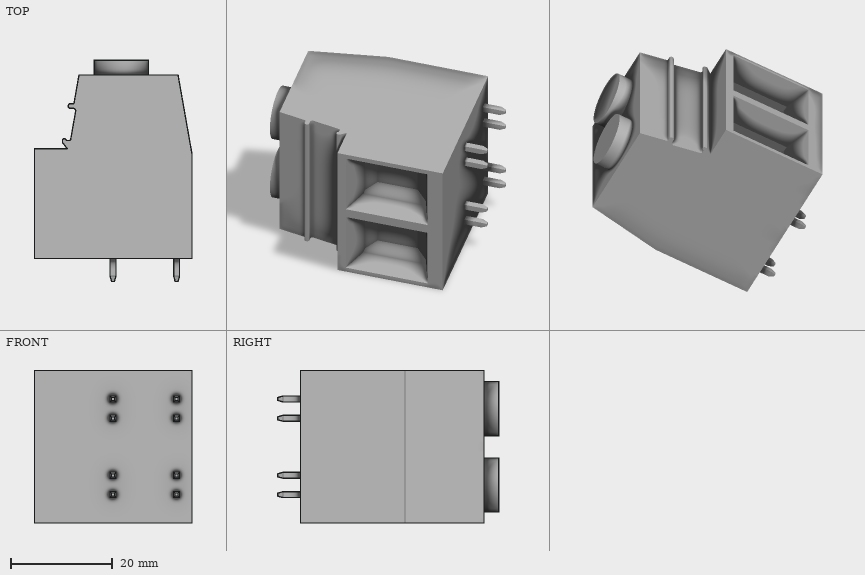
import math

import cadquery as cq


POLE_COUNT = 2
POLE_PITCH = 15.0
HOUSING_WIDTH = 31.0
HOUSING_LENGTH = 36.1
HOUSING_HEIGHT = POLE_COUNT * POLE_PITCH
SHOULDER_Y = 21.6
SHOULDER_END_X = 6.45
FLANK_ANGLE = 10.0
FLANK_SLOPE = math.tan(math.radians(FLANK_ANGLE))
TOP_LEFT_X = 8.75
TOP_RIGHT_X = 28.25

UPPER_RIB_TOP_Y = 30.45
UPPER_RIB_BOTTOM_Y = 29.5
UPPER_RIB_NOSE_X = 6.65
UPPER_RIB_NOSE_RADIUS = 0.4
UPPER_RIB_NOSE_FLAT = 0.3
UPPER_RIB_CHAMFER_WIDTH = 0.25
UPPER_RIB_ROOT_RADIUS = 0.5
LOWER_FLANK_INSET = 0.6
LOWER_RIB_TOP_Y = 23.2
LOWER_RIB_FOOT_SIZE = 0.2
LOWER_RIB_NOSE_X = 5.5
LOWER_RIB_NOSE_Y = 22.8
LOWER_RIB_BEAD_RADIUS = 0.38
LOWER_RIB_BLEND_RADIUS = 0.2

FUNNEL_CENTER_Y = 11.5
FUNNEL_MOUTH_LENGTH = 16.8
FUNNEL_NECK_LENGTH = 12.5
FUNNEL_FLOOR_LENGTH = 8.2
FUNNEL_MOUTH_HEIGHT = 13.0
FUNNEL_FLOOR_HEIGHT = 9.0
FUNNEL_NECK_DEPTH = 6.1
FUNNEL_SIDE_SLOPE_DEPTH = 5.5
FUNNEL_DEPTH = 7.5

SCREW_DIAMETER = 10.7
SCREW_RISE = 2.9
SCREW_X = 17.1

PIN_SIZE = 1.2
PIN_TIP_SIZE = 0.6
PIN_LENGTH = 4.51
PIN_TIP_LENGTH = 1.05
PIN_SPACING_Z = 3.8
PIN_ROWS_X = (15.45, 27.95)


def wire_flank_x(y):
    """X of the wire-side flank above the upper rib."""
    return TOP_LEFT_X - (HOUSING_LENGTH - y) * FLANK_SLOPE


def lower_flank_x(y):
    """X of the parallel, set-back flank between the two ribs."""
    return wire_flank_x(y) + LOWER_FLANK_INSET


def make_housing():
    taper_start_y = HOUSING_LENGTH - (HOUSING_WIDTH - TOP_RIGHT_X) / FLANK_SLOPE

    nose_end_x = UPPER_RIB_NOSE_X + UPPER_RIB_NOSE_RADIUS
    nose_mid_y = UPPER_RIB_TOP_Y - UPPER_RIB_NOSE_RADIUS
    nose_diagonal = UPPER_RIB_NOSE_RADIUS * math.sqrt(0.5)
    chamfer_end_x = UPPER_RIB_NOSE_X + UPPER_RIB_CHAMFER_WIDTH

    root_y = UPPER_RIB_BOTTOM_Y - UPPER_RIB_ROOT_RADIUS
    root_x = lower_flank_x(root_y)
    root_diagonal = UPPER_RIB_ROOT_RADIUS * (1 - math.sqrt(0.5))

    foot_y = LOWER_RIB_TOP_Y + LOWER_RIB_FOOT_SIZE
    foot_x = lower_flank_x(foot_y)
    bead_end_x = LOWER_RIB_NOSE_X + 2 * LOWER_RIB_BEAD_RADIUS
    bead_mid_x = LOWER_RIB_NOSE_X + LOWER_RIB_BEAD_RADIUS

    outline = (
        cq.Workplane("XY")
        .moveTo(0, 0)
        .lineTo(HOUSING_WIDTH, 0)
        .lineTo(HOUSING_WIDTH, taper_start_y)
        .lineTo(TOP_RIGHT_X, HOUSING_LENGTH)
        .lineTo(TOP_LEFT_X, HOUSING_LENGTH)
        .lineTo(wire_flank_x(UPPER_RIB_TOP_Y), UPPER_RIB_TOP_Y)
        .lineTo(nose_end_x, UPPER_RIB_TOP_Y)
        .threePointArc(
            (nose_end_x - nose_diagonal, nose_mid_y + nose_diagonal),
            (UPPER_RIB_NOSE_X, nose_mid_y),
        )
        .lineTo(UPPER_RIB_NOSE_X, nose_mid_y - UPPER_RIB_NOSE_FLAT)
        .lineTo(chamfer_end_x, UPPER_RIB_BOTTOM_Y)
        .lineTo(root_x - UPPER_RIB_ROOT_RADIUS, UPPER_RIB_BOTTOM_Y)
        .threePointArc(
            (root_x - root_diagonal, UPPER_RIB_BOTTOM_Y - root_diagonal),
            (root_x, root_y),
        )
        .lineTo(foot_x, foot_y)
        .lineTo(foot_x - LOWER_RIB_FOOT_SIZE, LOWER_RIB_TOP_Y)
        .lineTo(bead_end_x, LOWER_RIB_TOP_Y)
        .threePointArc(
            (bead_mid_x, LOWER_RIB_TOP_Y + LOWER_RIB_BEAD_RADIUS),
            (LOWER_RIB_NOSE_X, LOWER_RIB_TOP_Y),
        )
        .lineTo(LOWER_RIB_NOSE_X, LOWER_RIB_NOSE_Y)
        .lineTo(SHOULDER_END_X, SHOULDER_Y)
        .lineTo(0, SHOULDER_Y)
        .close()
    )
    bead_edge = cq.selectors.NearestToPointSelector((bead_end_x, LOWER_RIB_TOP_Y, HOUSING_HEIGHT / 2))
    return outline.extrude(HOUSING_HEIGHT).edges("|Z").edges(bead_edge).fillet(LOWER_RIB_BLEND_RADIUS)


def symmetric_outline(plane, stations):
    """Closed outline through (depth, full width) stations, mirrored about the plane's X axis."""
    upper = [(depth, width / 2) for depth, width in stations]
    lower = [(depth, -width / 2) for depth, width in reversed(stations)]
    return cq.Workplane(plane).polyline(upper + lower).close()


def make_funnel(center_z):
    """Funnel cutter: its Y walls narrow twice, its Z walls run straight and then narrow."""
    along_y = symmetric_outline(
        "XY",
        [
            (0, FUNNEL_MOUTH_LENGTH),
            (FUNNEL_NECK_DEPTH, FUNNEL_NECK_LENGTH),
            (FUNNEL_DEPTH, FUNNEL_FLOOR_LENGTH),
        ],
    ).extrude(FUNNEL_MOUTH_HEIGHT / 2, both=True)
    along_z = symmetric_outline(
        "XZ",
        [
            (0, FUNNEL_MOUTH_HEIGHT),
            (FUNNEL_SIDE_SLOPE_DEPTH, FUNNEL_MOUTH_HEIGHT),
            (FUNNEL_DEPTH, FUNNEL_FLOOR_HEIGHT),
        ],
    ).extrude(FUNNEL_MOUTH_LENGTH / 2, both=True)
    return along_y.intersect(along_z).translate((0, FUNNEL_CENTER_Y, center_z))


def make_screw(center_z):
    return (
        cq.Workplane("XZ", origin=(SCREW_X, HOUSING_LENGTH, center_z))
        .circle(SCREW_DIAMETER / 2)
        .extrude(-SCREW_RISE)
    )


def make_pin(x, z):
    """Square pin pointing toward -Y with a pyramidal tip."""
    shank_length = PIN_LENGTH - PIN_TIP_LENGTH
    shank = cq.Workplane("XZ", origin=(x, 0, z)).rect(PIN_SIZE, PIN_SIZE).extrude(shank_length)
    tip = (
        cq.Workplane("XZ", origin=(x, -shank_length, z))
        .rect(PIN_SIZE, PIN_SIZE)
        .workplane(offset=PIN_TIP_LENGTH)
        .rect(PIN_TIP_SIZE, PIN_TIP_SIZE)
        .loft(ruled=True)
    )
    return shank.union(tip)


result = make_housing()
for pole in range(POLE_COUNT):
    pole_z = (pole + 0.5) * POLE_PITCH
    result = result.cut(make_funnel(pole_z))
    result = result.union(make_screw(pole_z))
    for pin_x in PIN_ROWS_X:
        for side in (-1, 1):
            result = result.union(make_pin(pin_x, pole_z + side * PIN_SPACING_Z / 2))